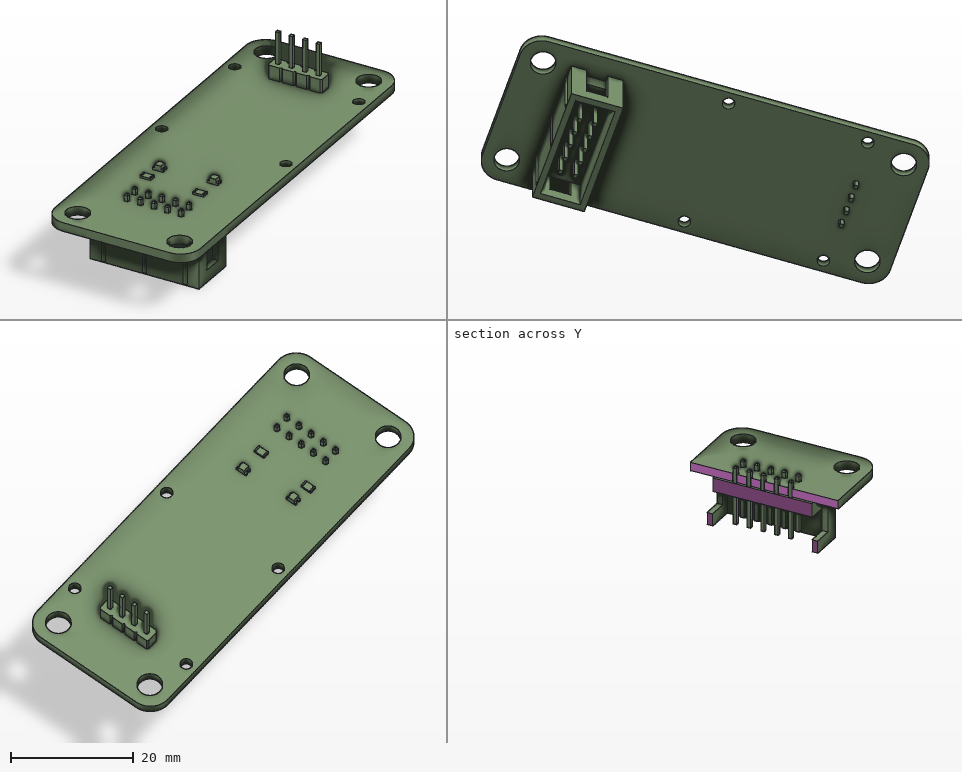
import cadquery as cq

board_length = 69.85
board_width = 27.3
board_thickness = 1.6
board_corner_radius = 3.7
mount_hole_diameter = 4.2
mount_hole_x = 9.6
mount_hole_y = 30.9
screw_hole_diameter = 2.0
screw_hole_x = 11.65
screw_hole_ys = (24.0, 0.2)
lead_hole_diameter = 1.0

header_pin_count = 4
header_length = 10.2
header_cell = header_length / header_pin_count
header_center = (0.0, 24.6)
header_chamfer = 0.315
header_pin_above_body = 5.95
header_pin_below_board = 1.25

pitch = header_cell
pin_width = 0.64

connector_center = (0.35, -21.9)
connector_length = 20.5
connector_depth = 8.9
connector_height = 9.0
connector_gap = 0.2
connector_wall = 1.05
connector_floor = 2.6
connector_columns = 5
connector_rows = 2
end_slot_width = 3.6
end_slot_rim = 2.3
rib_radius = 0.5
rib_protrusion = 0.2
rib_spacing = 7.7
rib_end_inset = 0.2
connector_pin_above_board = 1.25
connector_pin_tip_height = 0.3
connector_pin_tip_width = 0.2
connector_pin_recess = 1.4

chip_length = 2.0
chip_width = 1.25
chip_base_height = 0.4
led_height = 1.05
led_notch_radius = 0.245
led_lens_inset = 0.35
led_lens_top_length = 1.2
resistor_terminal_length = 0.3
resistor_terminal_step = 0.1
led_centers = ((-5.25, -11.65), (4.7, -11.05))
resistor_centers = ((-5.65, -15.0), (4.55, -15.5))


def header_points():
    """Centres of the header pins, in one row along X."""
    x, y = header_center
    middle = (header_pin_count - 1) / 2
    return [(x + (i - middle) * pitch, y) for i in range(header_pin_count)]


def connector_points():
    """Centres of the connector pins, in a grid."""
    x, y = connector_center
    middle_column = (connector_columns - 1) / 2
    middle_row = (connector_rows - 1) / 2
    return [
        (x + (column - middle_column) * pitch, y + (row - middle_row) * pitch)
        for column in range(connector_columns)
        for row in range(connector_rows)
    ]


def square_pins(points, bottom, top):
    """Upright square pins between two heights."""
    return (
        cq.Workplane("XY", origin=(0, 0, bottom))
        .pushPoints(points)
        .rect(pin_width, pin_width)
        .extrude(top - bottom)
    )


def make_board():
    """Rounded plate with mounting holes, screw holes and a drilled hole for every pin."""
    mount_points = [(i * mount_hole_x, j * mount_hole_y) for i in (-1, 1) for j in (-1, 1)]
    screw_points = [(i * screw_hole_x, y) for i in (-1, 1) for y in screw_hole_ys]
    plate = (
        cq.Workplane("XY")
        .rect(board_width, board_length)
        .extrude(board_thickness)
        .edges("|Z")
        .fillet(board_corner_radius)
    )
    holes = (
        (mount_points, mount_hole_diameter),
        (screw_points, screw_hole_diameter),
        (header_points() + connector_points(), lead_hole_diameter),
    )
    for points, diameter in holes:
        cutter = cq.Workplane("XY").pushPoints(points).circle(diameter / 2).extrude(board_thickness)
        plate = plate.cut(cutter)
    return plate


def make_header():
    """Row of chamfered cells joined side by side, with a straight pin through each."""
    cells = (
        cq.Workplane("XY", origin=(0, 0, board_thickness))
        .pushPoints(header_points())
        .rect(header_cell, header_cell)
        .extrude(header_cell, combine=False)
    )
    header = square_pins(
        header_points(),
        -header_pin_below_board,
        board_thickness + header_cell + header_pin_above_body,
    )
    for cell in cells.vals():
        header = header.union(cq.Workplane(cell).edges("|Z").chamfer(header_chamfer))
    return header


def make_connector():
    """Shroud open downwards, with ribs on its front, a slot in each end and two rows of pins."""
    x, y = connector_center
    top = -connector_gap
    bottom = top - connector_height

    def block(length, depth, low, high):
        sketch = cq.Workplane("XY", origin=(x, y, low)).rect(length, depth)
        return sketch.extrude(high - low)

    cavity_length = connector_length - 2 * connector_wall
    cavity_depth = connector_depth - 2 * connector_wall
    shroud = block(connector_length, connector_depth, bottom, top)

    rib_y = y - connector_depth / 2 - rib_protrusion + rib_radius
    ribs = (
        cq.Workplane("XY", origin=(x, rib_y, bottom + rib_end_inset))
        .pushPoints([(i * rib_spacing, 0) for i in (-1, 0, 1)])
        .circle(rib_radius)
        .extrude(connector_height - rib_end_inset)
    )
    shroud = shroud.union(ribs)

    shroud = shroud.cut(block(cavity_length, cavity_depth, bottom, top - connector_floor))
    end_slots = block(connector_length, end_slot_width, bottom + end_slot_rim, top)
    end_slots = end_slots.cut(block(cavity_length, end_slot_width, bottom, top))
    shroud = shroud.cut(end_slots)

    pins = square_pins(
        connector_points(),
        bottom + connector_pin_recess,
        board_thickness + connector_pin_above_board,
    )
    pins = pins.faces(">Z").chamfer(connector_pin_tip_height, connector_pin_tip_width)
    return shroud.union(pins)


def make_led(center):
    """Base with a round notch in each end, under a lens whose ends slope inwards."""
    base = cq.Workplane("XY").rect(chip_length, chip_width).extrude(chip_base_height)
    notches = (
        cq.Workplane("XY")
        .pushPoints([(-chip_length / 2, 0), (chip_length / 2, 0)])
        .circle(led_notch_radius)
        .extrude(chip_base_height)
    )
    lens_half = chip_length / 2 - led_lens_inset
    lens_top_half = led_lens_top_length / 2
    lens = (
        cq.Workplane("XZ", origin=(0, chip_width / 2, 0))
        .polyline(
            [
                (-lens_half, chip_base_height),
                (lens_half, chip_base_height),
                (lens_top_half, led_height),
                (-lens_top_half, led_height),
            ]
        )
        .close()
        .extrude(chip_width)
    )
    return base.cut(notches).union(lens).translate((*center, board_thickness))


def make_resistor(center):
    """Flat chip with a terminal at each end, slightly higher than the middle."""
    chip = cq.Workplane("XY").rect(chip_length, chip_width).extrude(chip_base_height)
    middle = (
        cq.Workplane("XY", origin=(0, 0, chip_base_height - resistor_terminal_step))
        .rect(chip_length - 2 * resistor_terminal_length, chip_width)
        .extrude(resistor_terminal_step)
    )
    return chip.cut(middle).translate((*center, board_thickness))


board = make_board()
header = make_header()
connector = make_connector()
leds = [make_led(center).val() for center in led_centers]
resistors = [make_resistor(center).val() for center in resistor_centers]

result = cq.Compound.makeCompound([board.val(), header.val(), connector.val(), *leds, *resistors])